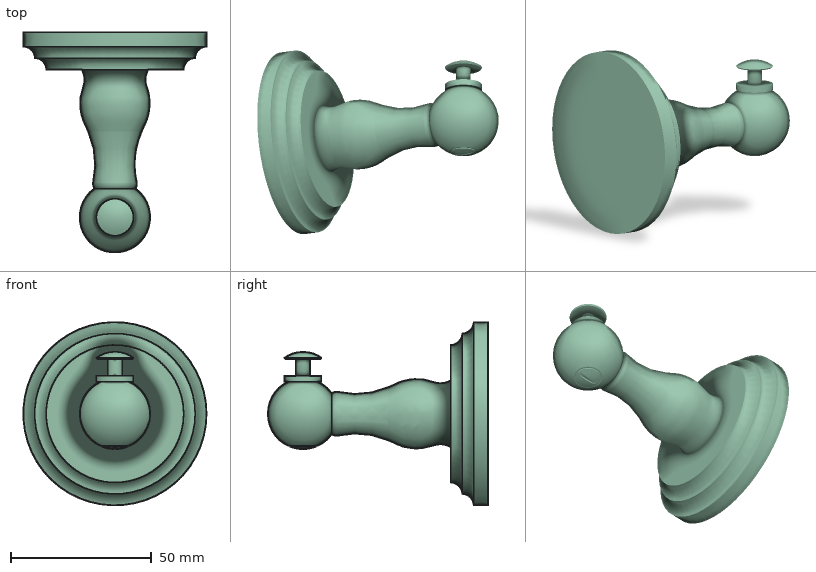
import cadquery as cq
import math


plate_radius = 32.5
plate_thickness = 5.15
cove_height = 4.1
cove_depth = 4.1
cove_count = 2
plate_front = plate_thickness + cove_count * cove_depth

overall_reach = 78.2
ball_radius = 12.5
ball_reach = overall_reach - ball_radius
flat_height = 11.4

foot_radius = 11.8
neck_reach, neck_radius = 16.8, 10.9
bulge_start_reach, bulge_start_radius = 19.0, 11.2
bulge_reach, bulge_radius = 24.85, 12.35
bulge_end_reach, bulge_end_radius = 33.5, 10.25
waist_start_reach, waist_start_radius = 35.3, 9.45
waist_reach, waist_radius = 46.5, 7.0
collar_reach, collar_radius = 53.55, 7.8
collar_mid_reach, collar_mid_radius = 54.65, 7.65
collar_end_reach = 55.5
collar_end_radius = math.sqrt(ball_radius**2 - (ball_reach - collar_end_reach) ** 2)

shank_radius = 2.6
flange_radius = 6.6
flange_thickness = 2.0
flange_top = flat_height + flange_thickness
cap_radius = flange_radius
cap_underside_radius = 6.2
cap_underside = 19.4
cap_rim_height = 0.5
cap_rim = cap_underside + cap_rim_height
cap_top = 22.0

head_radius = 4.5
head_rim_height = 0.27
head_rim = flat_height + head_rim_height
head_bottom = 12.6
slot_width = 1.2
slot_depth = 0.6


def dome_midpoint(rim_radius, rim_height, crown_height):
    """Point halfway along the arc from the rim of a dome to its crown, as (radius, height)."""
    rise = crown_height - rim_height
    sphere_radius = (rim_radius**2 + rise**2) / (2 * rise)
    half_angle = math.asin(rim_radius / sphere_radius) / 2
    centre_height = crown_height - sphere_radius
    return (sphere_radius * math.sin(half_angle), centre_height + sphere_radius * math.cos(half_angle))


def revolve_about_arm_axis(profile):
    """Turn a closed (radius, Y) profile about the Y axis."""
    return profile.close().revolve(360, (0, 0, 0), (0, 1, 0))


def make_plate():
    profile = cq.Workplane("XY").lineTo(plate_radius, 0).lineTo(plate_radius, -plate_thickness)
    for step in range(cove_count):
        outer = plate_radius - step * cove_height
        back = plate_thickness + step * cove_depth
        middle = (outer - cove_height * math.sqrt(0.5), -(back + cove_depth * (1 - math.sqrt(0.5))))
        profile = profile.threePointArc(middle, (outer - cove_height, -(back + cove_depth)))
    return revolve_about_arm_axis(profile.lineTo(0, -plate_front))


def make_arm():
    profile = (
        cq.Workplane("XY")
        .moveTo(0, -plate_front)
        .lineTo(foot_radius, -plate_front)
        .threePointArc((neck_radius, -neck_reach), (bulge_start_radius, -bulge_start_reach))
        .threePointArc((bulge_radius, -bulge_reach), (bulge_end_radius, -bulge_end_reach))
        .lineTo(waist_start_radius, -waist_start_reach)
        .threePointArc((waist_radius, -waist_reach), (collar_radius, -collar_reach))
        .threePointArc((collar_mid_radius, -collar_mid_reach), (collar_end_radius, -collar_end_reach))
        .lineTo(0, -ball_reach)
    )
    return revolve_about_arm_axis(profile)


def make_ball():
    flats = cq.Workplane("XY").box(2 * ball_radius, 2 * ball_radius, 2 * flat_height)
    ball = cq.Workplane("XY").sphere(ball_radius).intersect(flats)
    return ball.translate((0, -ball_reach, 0))


def make_bore():
    """Cutter for the vertical hole that holds the shank of the pin."""
    bore = cq.Workplane("XY").circle(shank_radius).extrude(flat_height, both=True)
    return bore.translate((0, -ball_reach, 0))


def make_hook():
    return make_plate().union(make_arm()).union(make_ball()).cut(make_bore())


def make_pin():
    head_middle_radius, head_middle_height = dome_midpoint(head_radius, head_rim, head_bottom)
    profile = (
        cq.Workplane("XZ")
        .moveTo(0, -head_bottom)
        .threePointArc((head_middle_radius, -head_middle_height), (head_radius, -head_rim))
        .lineTo(head_radius, -flat_height)
        .lineTo(shank_radius, -flat_height)
        .lineTo(shank_radius, flat_height)
        .lineTo(flange_radius, flat_height)
        .lineTo(flange_radius, flange_top)
        .lineTo(shank_radius, flange_top)
        .lineTo(shank_radius, cap_underside)
        .lineTo(cap_underside_radius, cap_underside)
        .lineTo(cap_radius, cap_rim)
        .threePointArc(dome_midpoint(cap_radius, cap_rim, cap_top), (0, cap_top))
        .close()
    )
    pin = profile.revolve(360, (0, 0, 0), (0, 1, 0))
    slot = (
        cq.Workplane("XY")
        .workplane(offset=-head_bottom)
        .rect(slot_width, 2 * head_radius)
        .extrude(slot_depth)
    )
    return pin.cut(slot).translate((0, -ball_reach, 0))


hook = make_hook()
pin = make_pin()
result = cq.Compound.makeCompound([hook.val(), pin.val()])